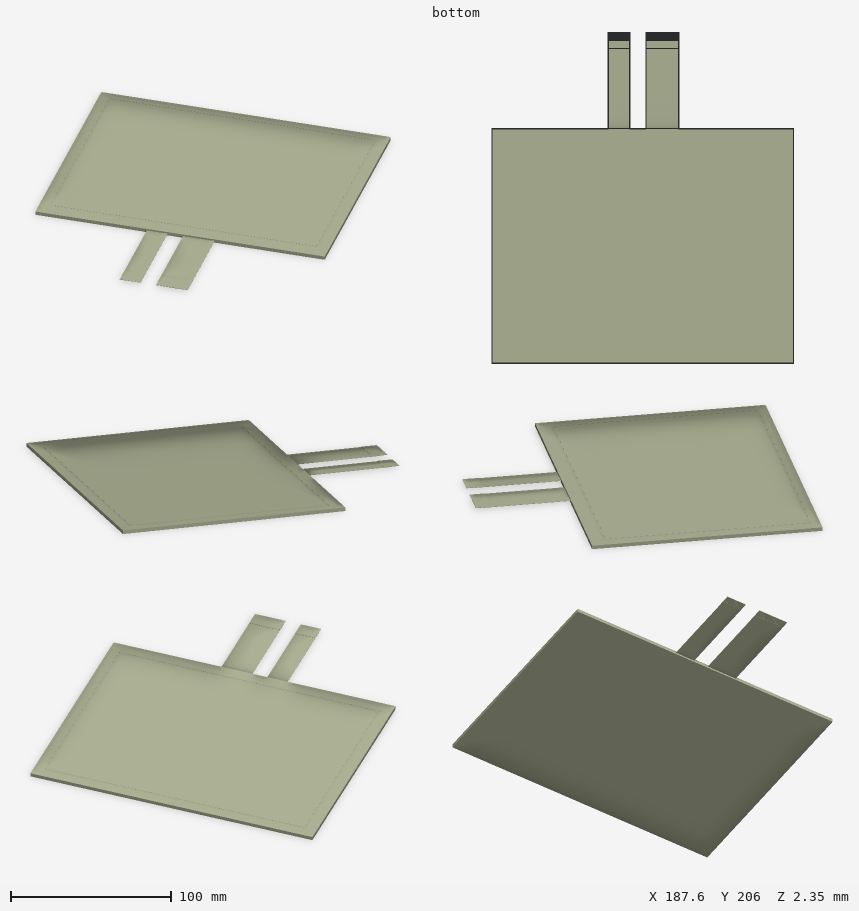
import cadquery as cq

PANEL_WIDTH = 187.6
PANEL_LENGTH = 146.0
PANEL_THICKNESS = 2.35

GROOVE_SIDE_MARGIN = 6.75
GROOVE_FRONT_MARGIN = 8.3
GROOVE_BACK_MARGIN = 5.9
GROOVE_SIDE_WIDTH = 1.6
GROOVE_END_WIDTH = 1.8
GROOVE_DEPTH = 0.1

TAIL_LENGTH = 60.0
TAIL_BOTTOM = 1.15
TAIL_TOP = 1.3
NARROW_TAIL_CENTER = -14.75
NARROW_TAIL_WIDTH = 13.5
NARROW_TAIL_CONTACTS = 13
WIDE_TAIL_CENTER = 12.25
WIDE_TAIL_WIDTH = 20.5
WIDE_TAIL_CONTACTS = 20

STIFFENER_LENGTH = 10.0
STIFFENER_THICKNESS = 0.2
TIP_LENGTH = 5.0
CONTACT_PITCH = 1.0
CONTACT_WIDTH = 0.5
CONTACT_THICKNESS = 0.1

PANEL_FRONT = -PANEL_LENGTH / 2
TAIL_END = PANEL_FRONT - TAIL_LENGTH


def block(x_center, width, y_start, length, z_bottom, z_top):
    """Box centred on x_center, running from y_start toward +Y."""
    box = cq.Workplane("XY").box(width, length, z_top - z_bottom, centered=(True, False, False))
    return box.translate((x_center, y_start, z_bottom))


def groove_block(side_inset, end_inset):
    """Groove-deep block below the panel's top face, inset from the groove's outer rim."""
    side = GROOVE_SIDE_MARGIN + side_inset
    front = GROOVE_FRONT_MARGIN + end_inset
    back = GROOVE_BACK_MARGIN + end_inset
    return block(
        0,
        PANEL_WIDTH - 2 * side,
        PANEL_FRONT + front,
        PANEL_LENGTH - front - back,
        PANEL_THICKNESS - GROOVE_DEPTH,
        PANEL_THICKNESS,
    )


def make_panel():
    panel = block(0, PANEL_WIDTH, PANEL_FRONT, PANEL_LENGTH, 0, PANEL_THICKNESS)
    groove = groove_block(0, 0).cut(groove_block(GROOVE_SIDE_WIDTH, GROOVE_END_WIDTH))
    return panel.cut(groove)


def make_tail(x_center, width, contact_count):
    film_length = TAIL_LENGTH - TIP_LENGTH
    stiffener_top = TAIL_TOP + STIFFENER_THICKNESS
    film = block(x_center, width, TAIL_END + TIP_LENGTH, film_length, TAIL_BOTTOM, TAIL_TOP)
    stiffener = block(x_center, width, TAIL_END, STIFFENER_LENGTH, TAIL_TOP, stiffener_top)
    tail = film.union(stiffener)

    contact_bottom = TAIL_TOP - CONTACT_THICKNESS
    first_contact = x_center - CONTACT_PITCH * (contact_count - 1) / 2
    for i in range(contact_count):
        x_contact = first_contact + i * CONTACT_PITCH
        contact = block(x_contact, CONTACT_WIDTH, TAIL_END, TIP_LENGTH, contact_bottom, TAIL_TOP)
        tail = tail.union(contact)
    return tail


panel = make_panel()
narrow_tail = make_tail(NARROW_TAIL_CENTER, NARROW_TAIL_WIDTH, NARROW_TAIL_CONTACTS)
wide_tail = make_tail(WIDE_TAIL_CENTER, WIDE_TAIL_WIDTH, WIDE_TAIL_CONTACTS)
result = panel.union(narrow_tail).union(wide_tail)